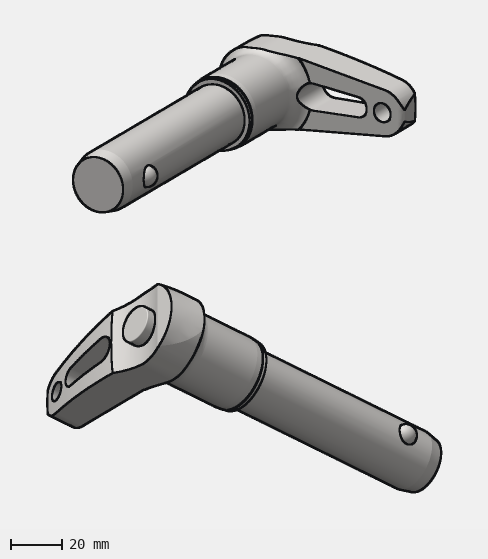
import cadquery as cq
import math


shank_radius = 12.5
shank_length = 92.2
tip_radius = 11.3
tip_taper_length = 5.6
ball_radius = 4.4
ball_reach = 15.6
ball_y = -74.1

collar_radius = 15.2
collar_nose_radius = 14.95
shoulder_step_radius = 14.65
shoulder_step_height = 1.85
nose_taper_end_y = 4.95
flare_start_y = 30.15
flare_radius = 6.25

button_radius = 7.65
button_top_y = 54.6
button_edge_radius = 0.4

hub_radius = 16.65
flank_start_x = -6.2
end_center_x = 54.4
end_radius = 9.65
end_face_x = 64.05

back_top_y = 51.4
saddle_bottom_y = 50.0
saddle_radius = 35.0
hump_x = 15.5
crest_middle = (39.0, 51.45)
end_top = (62.5, 46.35)
end_bottom_y = 33.9
end_bottom_fillet = 1.9

back_top_radius = 18.1
back_bottom_radius = 20.1

slot_wide_center_x = 22.0
slot_wide_radius = 5.6
slot_narrow_center_x = 43.0
slot_narrow_radius = 4.15
lanyard_hole_radius = 3.9

flare_outer_radius = collar_radius + flare_radius
handle_bottom_y = flare_start_y + flare_radius
underside_slope = (handle_bottom_y - end_bottom_y) / (end_face_x - flare_outer_radius)
underside_back_y = handle_bottom_y + 2 * flare_outer_radius * underside_slope
through_length = 2 * button_top_y
arc_45 = math.sqrt(0.5)


def along_pin(y):
    """Workplane square to the pin axis at height y, with local (x, y) = (X, Z) and normal -Y."""
    return cq.Workplane("XZ", origin=(0, y, 0))


def tangent_points(large_x, large_radius, small_x, small_radius):
    """Upper tangent points of two circles centred on the X axis."""
    slope = math.asin((large_radius - small_radius) / (small_x - large_x))
    sine, cosine = math.sin(slope), math.cos(slope)
    large_point = (large_x + large_radius * sine, large_radius * cosine)
    small_point = (small_x + small_radius * sine, small_radius * cosine)
    return large_point, small_point


def mirrored(point):
    return (point[0], -point[1])


def turned(profile):
    """Solid turned about the pin axis from a closed profile."""
    return profile.revolve(360, (0, 0, 0), (0, 1, 0))


def make_pin():
    """Shank, collar, flare and the hub disc above it that fills up to the sloping underside."""
    flare_middle = (
        flare_outer_radius - flare_radius * arc_45,
        flare_start_y + flare_radius * arc_45,
    )
    return turned(
        cq.Workplane("XY")
        .moveTo(0, -shank_length)
        .lineTo(tip_radius, -shank_length)
        .lineTo(shank_radius, -shank_length + tip_taper_length)
        .lineTo(shank_radius, 0)
        .lineTo(shoulder_step_radius, 0)
        .lineTo(shoulder_step_radius, shoulder_step_height)
        .lineTo(collar_nose_radius, shoulder_step_height)
        .lineTo(collar_radius, nose_taper_end_y)
        .lineTo(collar_radius, flare_start_y)
        .threePointArc(flare_middle, (flare_outer_radius, handle_bottom_y))
        .lineTo(flare_outer_radius, underside_back_y)
        .lineTo(0, underside_back_y)
        .close()
    )


def make_balls():
    balls = cq.Workplane("XY")
    for side in (-1, 1):
        center_x = side * (ball_reach - ball_radius)
        balls = balls.union(cq.Workplane("XY").sphere(ball_radius).translate((center_x, ball_y, 0)))
    return balls


def make_outline_prism():
    """Teardrop outline of the handle, tall enough to cover flare and grip."""
    hub_point, end_point = tangent_points(0, hub_radius, end_center_x, end_radius)
    slope = math.asin(hub_point[0] / hub_radius)
    hub_back_point = (-hub_point[0], hub_point[1])
    back_z = hub_point[1] - (hub_back_point[0] - flank_start_x) * math.tan(slope)
    back_radius = back_z / math.cos(slope)
    back_point = (flank_start_x, back_z)
    back_tip = (flank_start_x + back_radius * math.sin(slope) - back_radius, 0)
    return (
        along_pin(button_top_y)
        .moveTo(*hub_back_point)
        .threePointArc((0, hub_radius), hub_point)
        .lineTo(*end_point)
        .threePointArc((end_center_x + end_radius, 0), mirrored(end_point))
        .lineTo(*mirrored(hub_point))
        .threePointArc((0, -hub_radius), mirrored(hub_back_point))
        .lineTo(*mirrored(back_point))
        .threePointArc(back_tip, back_point)
        .close()
        .extrude(button_top_y - flare_start_y)
    )


def saddle_x(y):
    """Distance from the pin axis to the thumb saddle arc at height y."""
    return math.sqrt(saddle_radius**2 - (saddle_bottom_y + saddle_radius - y) ** 2)


def saddle_y(x):
    """Height of the thumb saddle arc at x."""
    return saddle_bottom_y + saddle_radius - math.sqrt(saddle_radius**2 - x**2)


def make_profile_slab():
    """Underside, back top and thumb saddle of the handle, extruded across its full width."""
    return (
        cq.Workplane("XY")
        .moveTo(-flare_outer_radius, underside_back_y)
        .lineTo(-flare_outer_radius, back_top_y)
        .lineTo(-saddle_x(back_top_y), back_top_y)
        .threePointArc((0, saddle_bottom_y), (saddle_x(button_top_y), button_top_y))
        .lineTo(end_face_x, button_top_y)
        .lineTo(end_face_x, end_bottom_y)
        .close()
        .extrude(hub_radius, both=True)
    )


def make_back_envelope():
    """Cone about the pin axis that tapers the back end of the handle."""
    taper_slope = (back_bottom_radius - back_top_radius) / (back_top_y - handle_bottom_y)
    low_radius = back_bottom_radius + taper_slope * (handle_bottom_y - flare_start_y)
    high_radius = back_top_radius - taper_slope * (button_top_y - back_top_y)
    return turned(
        cq.Workplane("XY")
        .moveTo(0, flare_start_y)
        .lineTo(low_radius, flare_start_y)
        .lineTo(high_radius, button_top_y)
        .lineTo(0, button_top_y)
        .close()
    )


def make_grip_envelope():
    """Crowned top and tapered end of the grip, both turned about the pin axis."""
    crest_start_y = saddle_y(hump_x)
    end_slope = (end_face_x - end_top[0]) / (end_top[1] - end_bottom_y)
    low_radius = end_face_x + end_slope * (end_bottom_y - flare_start_y)
    return turned(
        cq.Workplane("XY")
        .moveTo(0, flare_start_y)
        .lineTo(low_radius, flare_start_y)
        .lineTo(*end_top)
        .threePointArc(crest_middle, (hump_x, crest_start_y))
        .lineTo(0, crest_start_y)
        .close()
    )


def make_grip_side():
    """Block covering everything on the +X side of the pin axis, across the full width."""
    return (
        cq.Workplane("XY")
        .rect(2 * end_face_x, 2 * through_length)
        .extrude(flare_outer_radius, both=True)
        .translate((end_face_x, 0, 0))
    )


def make_handle_body(flare):
    """Handle before it is trimmed to its outline: grip on +X, tapered back on -X."""
    blank = make_profile_slab().union(flare)
    grip_side = make_grip_side()
    end_bottom_edge = cq.selectors.NearestToPointSelector((end_face_x, end_bottom_y, 0))
    grip = (
        blank.intersect(make_grip_envelope())
        .intersect(grip_side)
        .edges(end_bottom_edge)
        .fillet(end_bottom_fillet)
    )
    back = blank.intersect(make_back_envelope()).cut(grip_side)
    return grip.union(back)


def make_slot_cutter():
    """Tapered slot with a round at each end."""
    wide_point, narrow_point = tangent_points(
        slot_wide_center_x, slot_wide_radius, slot_narrow_center_x, slot_narrow_radius
    )
    return (
        along_pin(through_length)
        .moveTo(*wide_point)
        .lineTo(*narrow_point)
        .threePointArc((slot_narrow_center_x + slot_narrow_radius, 0), mirrored(narrow_point))
        .lineTo(*mirrored(wide_point))
        .threePointArc((slot_wide_center_x - slot_wide_radius, 0), wide_point)
        .close()
        .extrude(through_length)
    )


def make_lanyard_hole_cutter():
    return (
        along_pin(through_length)
        .center(end_center_x, 0)
        .circle(lanyard_hole_radius)
        .extrude(through_length)
    )


def make_button():
    return (
        along_pin(button_top_y)
        .circle(button_radius)
        .extrude(button_top_y - handle_bottom_y)
        .faces(">Y")
        .edges()
        .fillet(button_edge_radius)
    )


def make_part():
    pin = make_pin()
    flare_zone = (
        along_pin(button_top_y)
        .circle(flare_outer_radius)
        .extrude(button_top_y - flare_start_y)
    )
    flare = pin.intersect(flare_zone)
    handle = make_handle_body(flare).intersect(make_outline_prism())
    handle = handle.cut(make_slot_cutter()).cut(make_lanyard_hole_cutter())
    return pin.cut(flare_zone).union(handle).union(make_button()).union(make_balls())


result = make_part()